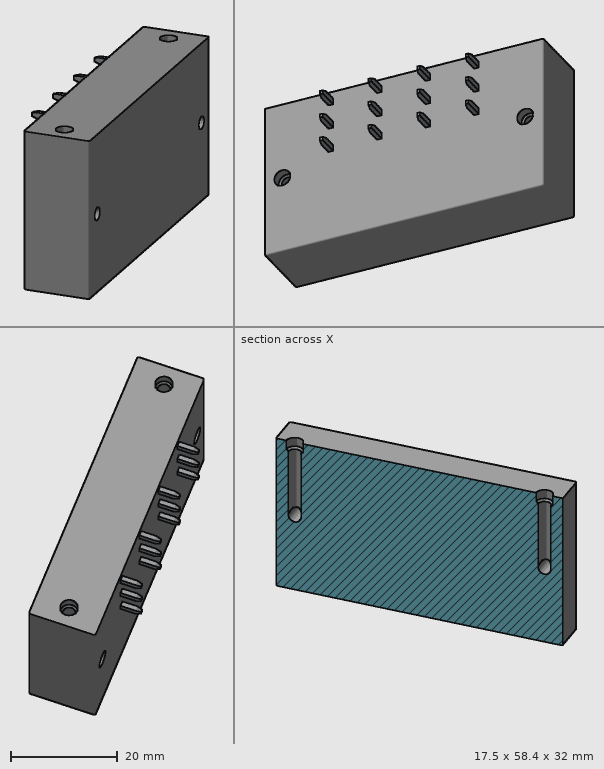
import cadquery as cq

body_width = 13.4
body_length = 58.4
body_height = 32.0
edge_radius = 0.4

hole_diameter = 2.5
hole_pitch = 50.8
mouth_diameter = 3.3
mouth_depth = 1.85

pin_length = 4.05
pin_width = 1.0
pin_height = 1.2
tip_length = 1.0
tip_width = 0.6
tip_height = 0.7
pin_columns = 4
column_pitch = 10.15
pin_rows = 3
row_pitch = 5.1
top_row_drop = 2.15

pin_face_x = -body_width / 2
top_z = body_height / 2
hole_positions_y = [-hole_pitch / 2, hole_pitch / 2]


def make_body():
    """Block with rounded vertical and bottom edges and a sharp-edged top."""
    block = cq.Workplane("XY").box(body_width, body_length, body_height)
    return block.edges("|Z or <Z").fillet(edge_radius)


def drill(start, direction, depth):
    """Cutter for a round hole whose wider mouth narrows to the bore through a 45 degree cone."""
    start_plane = cq.Workplane(cq.Plane(origin=start, normal=direction))
    bore = start_plane.circle(hole_diameter / 2).extrude(depth)
    mouth = start_plane.circle(mouth_diameter / 2).extrude(mouth_depth)
    cone_height = (mouth_diameter - hole_diameter) / 2
    cone = (
        start_plane.workplane(offset=mouth_depth)
        .circle(mouth_diameter / 2)
        .workplane(offset=cone_height)
        .circle(hole_diameter / 2)
        .loft()
    )
    return bore.union(mouth).union(cone)


def make_pin(y, z):
    """Rectangular pin along -X with a tapered tip."""
    shank_length = pin_length - tip_length
    shank = (
        cq.Workplane(cq.Plane(origin=(pin_face_x, y, z), xDir=(0, 1, 0), normal=(-1, 0, 0)))
        .rect(pin_width, pin_height)
        .extrude(shank_length)
    )
    tip = (
        shank.faces("<X")
        .workplane(centerOption="CenterOfMass")
        .rect(pin_width, pin_height)
        .workplane(offset=tip_length)
        .rect(tip_width, tip_height)
        .loft(combine=False)
    )
    return shank.union(tip)


result = make_body()

for hole_y in hole_positions_y:
    result = result.cut(drill((pin_face_x, hole_y, 0), (1, 0, 0), body_width))
    result = result.cut(drill((0, hole_y, top_z), (0, 0, -1), top_z))

first_column_y = -column_pitch * (pin_columns - 1) / 2
for column in range(pin_columns):
    for row in range(pin_rows):
        pin_y = first_column_y + column * column_pitch
        pin_z = top_z - top_row_drop - row * row_pitch
        result = result.union(make_pin(pin_y, pin_z))